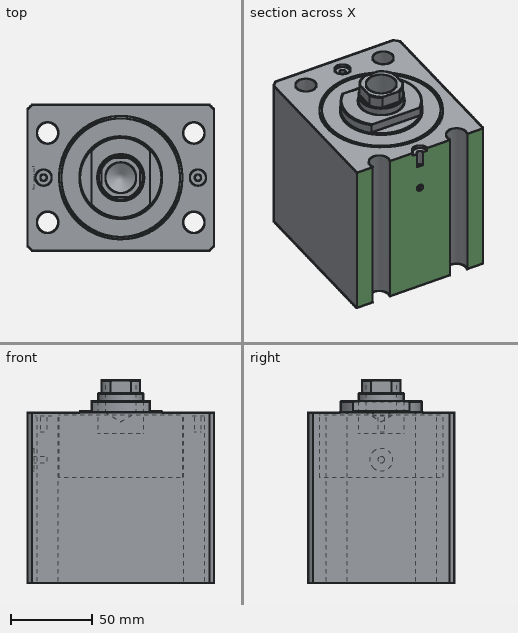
import cadquery as cq
import math

block_x = 115.0
block_y = 90.0
block_z = 105.0
block_corner_chamfer = 3.0

mount_hole_dia = 13.0
mount_spacing_x = 90.0
mount_spacing_y = 55.0

port_hole_dia = 4.0
port_hole_depth = 12.0
top_port_spacing = 95.0
top_port_seat_dia = 10.0
top_port_seat_depth = 2.0
side_port_z = block_z - 29.0
side_port_seat_dia = 14.0
side_port_seat_depth = 4.0

edge_chamfer = 0.5

guide_dia = 76.0
guide_length = 40.0
guide_chamfer = 1.5
guide_bottom_z = block_z - guide_length
rod_end_dia = 50.0
rod_flats_width = 36.0
flats_bottom_z = block_z + 1.0
shoulder_z = block_z + 7.0

insert_dia = 28.0
insert_seat_depth = 20.0
insert_bottom_z = shoulder_z - insert_seat_depth
collar_top_z = shoulder_z + 5.0
head_dia = 27.0
head_square = 24.0
insert_top_z = 125.0
insert_hole_dia = 19.0
insert_hole_depth = 20.0
drill_point_angle = 118.0


def cylinder(diameter, bottom_z, top_z):
    """Upright cylinder on the Z axis."""
    return cq.Workplane("XY").workplane(offset=bottom_z).circle(diameter / 2).extrude(top_z - bottom_z)


def chamfered_cylinder(diameter, bottom_z, top_z, chamfer):
    """Upright cylinder on the Z axis with a chamfered top edge."""
    return cylinder(diameter, bottom_z, top_z).faces(">Z").edges().chamfer(chamfer)


def cone(bottom_dia, top_dia, bottom_z, top_z):
    """Upright cone on the Z axis; a diameter of zero gives a pointed end."""
    solid = cq.Solid.makeCone(bottom_dia / 2, top_dia / 2, top_z - bottom_z, cq.Vector(0, 0, bottom_z))
    return cq.Workplane(obj=solid)


def port_cutter(face_plane, seat_dia, seat_depth):
    """Seat and drilling of one port, cut inward along the normal of the plane."""
    seat = face_plane.circle(seat_dia / 2).extrude(seat_depth)
    hole = face_plane.circle(port_hole_dia / 2).extrude(port_hole_depth)
    return seat.union(hole)


def make_block():
    body = (
        cq.Workplane("XY")
        .box(block_x, block_y, block_z, centered=(True, True, False))
        .edges("|Z").chamfer(block_corner_chamfer)
    )
    body = (
        body.faces(">Z").workplane(origin=(0, 0, block_z))
        .rarray(mount_spacing_x, mount_spacing_y, 2, 2)
        .hole(mount_hole_dia)
    )

    for side in (-1, 1):
        port_center = (side * top_port_spacing / 2, 0, block_z)
        top_plane = cq.Workplane(cq.Plane(origin=port_center, normal=(0, 0, -1)))
        body = body.cut(port_cutter(top_plane, top_port_seat_dia, top_port_seat_depth))

    side_plane = cq.Workplane("YZ", origin=(-block_x / 2, 0, side_port_z))
    body = body.cut(port_cutter(side_plane, side_port_seat_dia, side_port_seat_depth))

    return body.cut(cylinder(guide_dia, guide_bottom_z, block_z))


def make_rod():
    guide = chamfered_cylinder(guide_dia, guide_bottom_z, block_z, guide_chamfer)

    foot_dia = rod_end_dia + 2 * edge_chamfer
    foot = cone(foot_dia, rod_end_dia, block_z, block_z + edge_chamfer)

    round_end = chamfered_cylinder(rod_end_dia, block_z, shoulder_z, edge_chamfer)
    flat_cut_width = (rod_end_dia - rod_flats_width) / 2
    for side in (-1, 1):
        flat_cut = (
            cq.Workplane("XY").workplane(offset=flats_bottom_z)
            .center(side * (rod_flats_width + flat_cut_width) / 2, 0)
            .rect(flat_cut_width, rod_end_dia).extrude(shoulder_z - flats_bottom_z)
        )
        round_end = round_end.cut(flat_cut)

    insert_hole = cylinder(insert_dia, insert_bottom_z, shoulder_z)
    countersink_dia = insert_dia + 2 * edge_chamfer
    countersink = cone(insert_dia, countersink_dia, shoulder_z - edge_chamfer, shoulder_z)
    return guide.union(foot).union(round_end).cut(insert_hole).cut(countersink)


def make_insert():
    shank = chamfered_cylinder(insert_dia, insert_bottom_z, collar_top_z, edge_chamfer)

    square = (
        cq.Workplane("XY").workplane(offset=collar_top_z)
        .rect(head_square, head_square).extrude(insert_top_z - collar_top_z)
    )
    head = chamfered_cylinder(head_dia, collar_top_z, insert_top_z, edge_chamfer).intersect(square)

    hole_floor_z = insert_top_z - insert_hole_depth
    hole = cylinder(insert_hole_dia, hole_floor_z, insert_top_z)
    point_depth = insert_hole_dia / 2 / math.tan(math.radians(drill_point_angle / 2))
    drill_point = cone(0, insert_hole_dia, hole_floor_z - point_depth, hole_floor_z)
    return shank.union(head).cut(hole).cut(drill_point)


block = make_block()
rod = make_rod()
insert = make_insert()

result = cq.Compound.makeCompound([body.solids().val() for body in (block, rod, insert)])